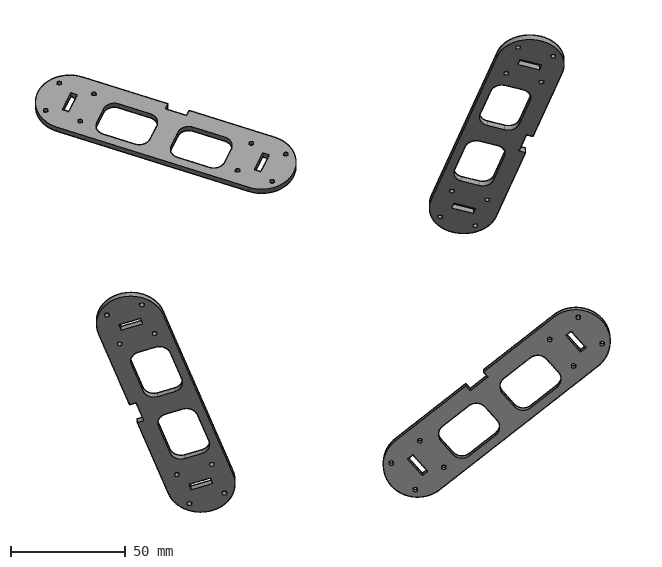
import cadquery as cq

length = 120.0
width = 30.0
thickness = 3.0
end_center_x = (length - width) / 2

hole_diameter = 2.0
hole_pitch = 16.2
slot_width = 3.0
slot_length = 10.0

web_width = 10.0
window_length = 25.0
window_width = 18.0
window_radius = 5.0
window_center_x = (web_width + window_length) / 2
window_center_y = -2.0
notch_width = web_width
notch_depth = 3.0


def make_plate():
    return cq.Workplane("XY").slot2D(length, width).extrude(thickness)


def make_end_cutters(center_x):
    """Four small holes and a slot, centred on one rounded end."""
    base = cq.Workplane("XY").center(center_x, 0)
    slot = base.rect(slot_width, slot_length).extrude(thickness)
    holes = base.rarray(hole_pitch, hole_pitch, 2, 2).circle(hole_diameter / 2).extrude(thickness)
    return slot.union(holes)


def make_window_cutter(center_x):
    return (
        cq.Workplane("XY")
        .center(center_x, window_center_y)
        .rect(window_length, window_width)
        .extrude(thickness)
        .edges("|Z")
        .fillet(window_radius)
    )


def make_notch_cutter():
    return (
        cq.Workplane("XY")
        .center(0, width / 2 - notch_depth / 2)
        .rect(notch_width, notch_depth)
        .extrude(thickness)
    )


result = make_plate().cut(make_notch_cutter())
for side in (-1, 1):
    result = result.cut(make_end_cutters(side * end_center_x))
    result = result.cut(make_window_cutter(side * window_center_x))